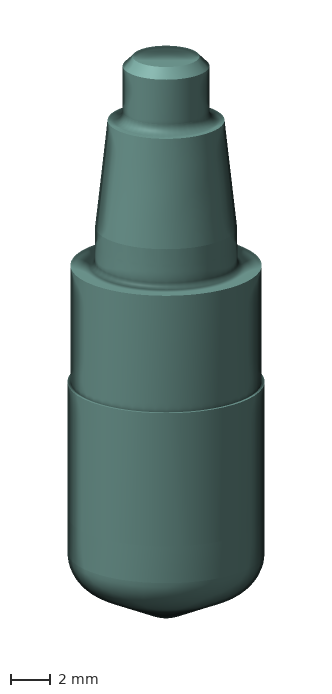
import cadquery as cq
import math

total_height = 29.9
joint_z = 5.4
body_step_z = 12.53
body_top_z = 18.75
taper_break_z = 20.8
pin_base_z = 26.5

body_radius = 10.0 / 2
upper_body_radius = 9.7 / 2
taper_base_radius = 3.62
taper_break_radius = 3.6
taper_top_radius = 2.95
pin_radius = 4.4 / 2

pin_chamfer = 0.5
pin_fillet = 0.5
taper_fillet = 0.27

nose_slope = math.radians(25)
tip_radius = 2.0
shoulder_radius = 2.1


def arc_point(center_r, center_z, radius, angle):
    """Point on a circle in the radius-height half plane."""
    return (center_r + radius * math.cos(angle), center_z + radius * math.sin(angle))


def make_body():
    """Stepped body with a two-stage tapered neck and a chamfered pin end."""
    fillet_middle = math.radians(225)
    neck_fillet_middle = arc_point(
        taper_base_radius + taper_fillet, body_top_z + taper_fillet, taper_fillet, fillet_middle
    )
    pin_fillet_middle = arc_point(
        pin_radius + pin_fillet, pin_base_z + pin_fillet, pin_fillet, fillet_middle
    )
    profile = (
        cq.Workplane("XZ")
        .moveTo(0, joint_z)
        .lineTo(body_radius, joint_z)
        .lineTo(body_radius, body_step_z)
        .lineTo(upper_body_radius, body_step_z)
        .lineTo(upper_body_radius, body_top_z)
        .lineTo(taper_base_radius + taper_fillet, body_top_z)
        .threePointArc(neck_fillet_middle, (taper_base_radius, body_top_z + taper_fillet))
        .lineTo(taper_break_radius, taper_break_z)
        .lineTo(taper_top_radius, pin_base_z)
        .lineTo(pin_radius + pin_fillet, pin_base_z)
        .threePointArc(pin_fillet_middle, (pin_radius, pin_base_z + pin_fillet))
        .lineTo(pin_radius, total_height - pin_chamfer)
        .lineTo(pin_radius - pin_chamfer, total_height)
        .lineTo(0, total_height)
        .close()
    )
    return profile.revolve(360, (0, 0, 0), (0, 1, 0))


def make_nose():
    """Conical nose with a rounded tip and a rounded shoulder tangent to the body cylinder."""
    cone_normal = nose_slope - math.pi / 2

    sharp_tip_z = tip_radius * (1 - 1 / math.cos(nose_slope))
    cone_edge_z = sharp_tip_z + body_radius * math.tan(nose_slope)

    shoulder_turn = math.pi / 2 - nose_slope
    shoulder_z = cone_edge_z + shoulder_radius * math.tan(shoulder_turn / 2)
    shoulder_center_r = body_radius - shoulder_radius

    tip_middle = arc_point(0, tip_radius, tip_radius, (cone_normal - math.pi / 2) / 2)
    tip_end = arc_point(0, tip_radius, tip_radius, cone_normal)
    shoulder_start = arc_point(shoulder_center_r, shoulder_z, shoulder_radius, cone_normal)
    shoulder_middle = arc_point(shoulder_center_r, shoulder_z, shoulder_radius, cone_normal / 2)
    profile = (
        cq.Workplane("XZ")
        .moveTo(0, 0)
        .threePointArc(tip_middle, tip_end)
        .lineTo(*shoulder_start)
        .threePointArc(shoulder_middle, (body_radius, shoulder_z))
        .lineTo(body_radius, joint_z)
        .lineTo(0, joint_z)
        .close()
    )
    return profile.revolve(360, (0, 0, 0), (0, 1, 0))


body = make_body()
nose = make_nose()

result = cq.Compound.makeCompound([body.val(), nose.val()])